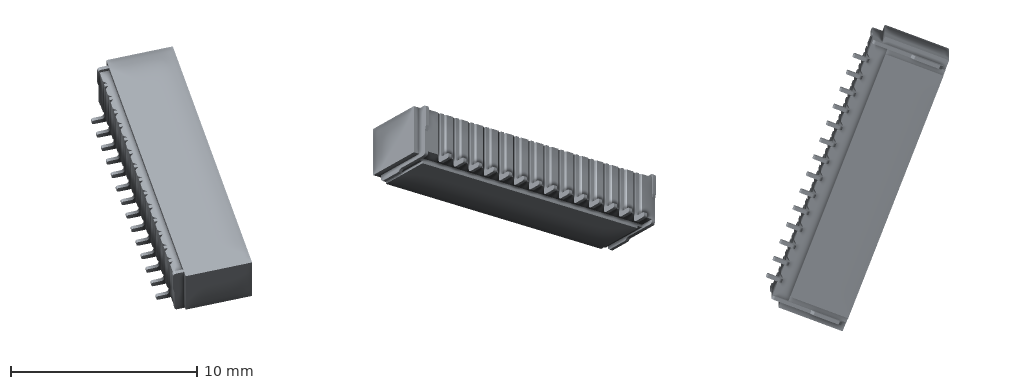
import cadquery as cq

LENGTH = 16.0
BLOCK_DEPTH = 3.7
TOP_Z = 3.1
BLOCK_BOTTOM_Z = 0.38

PIN_COUNT = 14
PIN_PITCH = 1.0
PIN_WIDTH = 0.2
PIN_TIP_Y = -1.25
FOOT_HEIGHT = 0.29
BEND_RADIUS = 0.18
TIP_FILLET = 0.11

WALL_DEPTH = 0.53
WALL_TOP_Z = 2.86
GROOVE_DEPTH = 0.2
GROOVE_MOUTH = 0.56

TAB_THICKNESS = 0.2
TAB_INSET = 0.35
TAB_TOP_Z = 3.05
TAB_HEAD_Y = -0.6
TAB_HEAD_FILLET = 0.16
TAB_STEP_TOP_Z = 1.87
TAB_STEP_BOTTOM_Z = 1.57
TAB_UNDERSIDE_Z = 0.15
TAB_FOOT_FRONT_Y = 1.89
TAB_FOOT_BACK_Y = 3.33
TAB_BACK_Y = 3.47
TAB_FOOT_SLOPE = 0.2
TAB_BACK_CHAMFER = 0.11

BASE_FRONT_Y = 0.37
BASE_BOTTOM_Z = 0.1
BASE_STEP_Z = 0.24
BASE_STEP_WIDTH = 0.29

WALL_LENGTH = LENGTH - 2 * (TAB_INSET + TAB_THICKNESS)
PIN_POSITIONS = [(i - (PIN_COUNT - 1) / 2) * PIN_PITCH for i in range(PIN_COUNT)]


def box(length, y_min, y_max, z_min, z_max):
    """Box centred on X between the given Y and Z limits."""
    return (
        cq.Workplane("XY", origin=(0, (y_min + y_max) / 2, z_min))
        .rect(length, y_max - y_min)
        .extrude(z_max - z_min)
    )


def front_wall():
    """Wall with one tapered vertical groove per contact."""
    wall = box(WALL_LENGTH, -WALL_DEPTH, 0, BLOCK_BOTTOM_Z, WALL_TOP_Z)
    groove = (
        cq.Workplane("XY", origin=(0, 0, BLOCK_BOTTOM_Z))
        .moveTo(-GROOVE_MOUTH / 2, -WALL_DEPTH)
        .lineTo(-PIN_WIDTH / 2, -WALL_DEPTH + GROOVE_DEPTH)
        .lineTo(PIN_WIDTH / 2, -WALL_DEPTH + GROOVE_DEPTH)
        .lineTo(GROOVE_MOUTH / 2, -WALL_DEPTH)
        .close()
        .extrude(WALL_TOP_Z - BLOCK_BOTTOM_Z)
    )
    for x in PIN_POSITIONS:
        wall = wall.cut(groove.translate((x, 0, 0)))
    return wall


def base_plate():
    """Plate under the block with a raised step at each end."""
    middle_length = WALL_LENGTH - 2 * BASE_STEP_WIDTH
    middle = box(middle_length, BASE_FRONT_Y, BLOCK_DEPTH, BASE_BOTTOM_Z, BLOCK_BOTTOM_Z)
    ends = box(WALL_LENGTH, BASE_FRONT_Y, BLOCK_DEPTH, BASE_STEP_Z, BLOCK_BOTTOM_Z)
    return middle.union(ends)


def contact():
    """L-shaped contact: upright bar bent forward into a solder foot."""
    front_y = -WALL_DEPTH
    back_y = front_y + GROOVE_DEPTH
    profile = (
        cq.Workplane("YZ", origin=(-PIN_WIDTH / 2, 0, 0))
        .moveTo(back_y, WALL_TOP_Z)
        .lineTo(front_y, WALL_TOP_Z)
        .lineTo(front_y, FOOT_HEIGHT)
        .lineTo(PIN_TIP_Y, FOOT_HEIGHT)
        .lineTo(PIN_TIP_Y, 0)
        .lineTo(back_y, 0)
        .close()
        .extrude(PIN_WIDTH)
    )
    bend_inside = cq.selectors.NearestToPointSelector((0, front_y, FOOT_HEIGHT))
    bend_outside = cq.selectors.NearestToPointSelector((0, back_y, 0))
    return (
        profile.edges("|X").edges(bend_inside).fillet(BEND_RADIUS)
        .edges("|X").edges(bend_outside).fillet(BEND_RADIUS)
        .faces("<Y").edges("|X").fillet(TIP_FILLET)
    )


def solder_tab():
    """Flat tab, starting at X = 0, with a proud head and a foot on the seating plane."""
    tab = (
        cq.Workplane("YZ")
        .moveTo(0, TAB_TOP_Z)
        .lineTo(TAB_HEAD_Y, TAB_TOP_Z)
        .lineTo(TAB_HEAD_Y, TAB_STEP_TOP_Z)
        .lineTo(-WALL_DEPTH, TAB_STEP_BOTTOM_Z)
        .lineTo(-WALL_DEPTH, TAB_UNDERSIDE_Z)
        .lineTo(TAB_FOOT_FRONT_Y - TAB_FOOT_SLOPE, TAB_UNDERSIDE_Z)
        .lineTo(TAB_FOOT_FRONT_Y, 0)
        .lineTo(TAB_FOOT_BACK_Y, 0)
        .lineTo(TAB_BACK_Y, TAB_BACK_CHAMFER)
        .lineTo(TAB_BACK_Y, BLOCK_BOTTOM_Z)
        .lineTo(0, BLOCK_BOTTOM_Z)
        .close()
        .extrude(TAB_THICKNESS)
    )
    head_corner = cq.selectors.NearestToPointSelector((TAB_THICKNESS / 2, TAB_HEAD_Y, TAB_TOP_Z))
    lower_corner = cq.selectors.NearestToPointSelector((TAB_THICKNESS / 2, -WALL_DEPTH, TAB_UNDERSIDE_Z))
    return (
        tab.edges("|X").edges(head_corner).fillet(TAB_HEAD_FILLET)
        .edges("|X").edges(lower_corner).fillet(TAB_HEAD_FILLET)
    )


result = (
    box(LENGTH, 0, BLOCK_DEPTH, BLOCK_BOTTOM_Z, TOP_Z)
    .union(front_wall())
    .union(base_plate())
)
for x in PIN_POSITIONS:
    result = result.union(contact().translate((x, 0, 0)))
for tab_start_x in (-LENGTH / 2 + TAB_INSET, LENGTH / 2 - TAB_INSET - TAB_THICKNESS):
    result = result.union(solder_tab().translate((tab_start_x, 0, 0)))